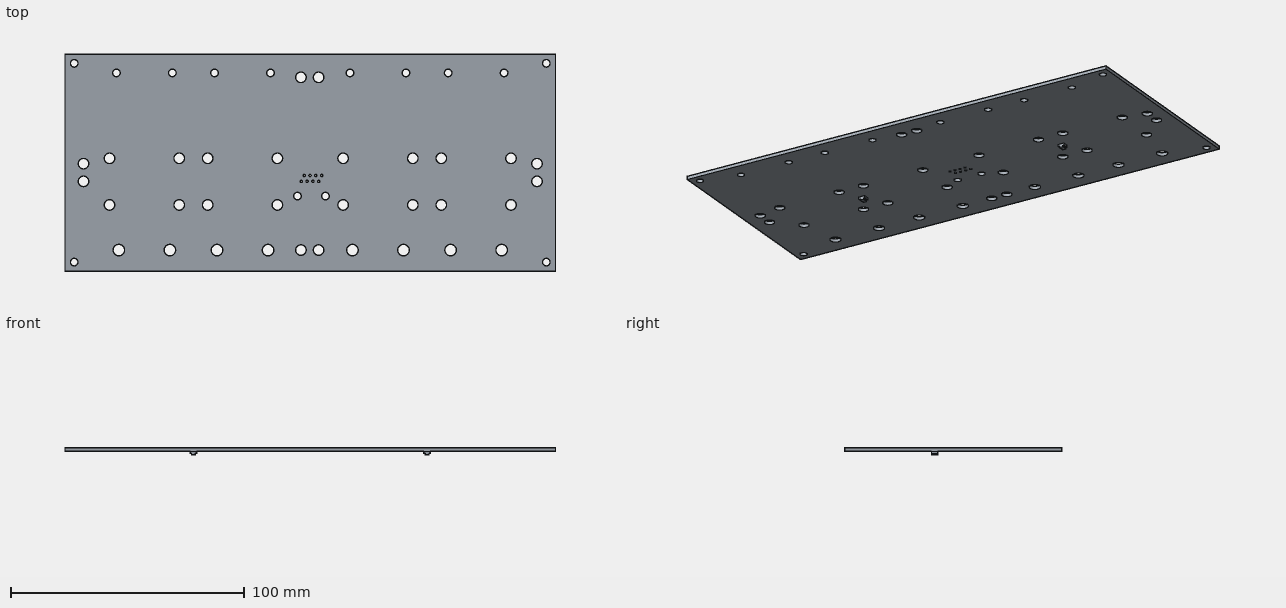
import cadquery as cq

PANEL_LENGTH = 210.0
PANEL_WIDTH = 93.0
TOTAL_HEIGHT = 3.2
PANEL_THICKNESS = 1.6
PANEL_BOTTOM = -PANEL_THICKNESS

CORNER_DIAMETER = 3.2
CORNER_INSET = 4.0

INNER_STATION_X = 29.0
OUTER_STATION_X = 71.0
STATIONS_X = [-OUTER_STATION_X, -INNER_STATION_X, INNER_STATION_X, OUTER_STATION_X]

UPPER_DIAMETER = 3.2
UPPER_OFFSET = 12.0
UPPER_Y = 38.5
MIDDLE_DIAMETER = 4.5
MIDDLE_OFFSET = 15.0
MIDDLE_ROWS_Y = [1.9, -18.0]
LOWER_DIAMETER = 4.8
LOWER_OFFSET = 11.0
LOWER_Y = -37.4

EDGE_DIAMETER = 4.5
EDGE_SPACING = 7.5
EDGE_PAIR_X = -0.2
EDGE_PAIR_TOP_Y = 36.5
EDGE_PAIR_BOTTOM_Y = LOWER_Y
SIDE_PAIR_X = 97.0
SIDE_PAIR_Y = -4.2

CONNECTOR_X = 0.52
PIN_DIAMETER = 0.9
PINS_PER_ROW = 4
PIN_PITCH = 2.5
PIN_STAGGER = PIN_PITCH / 2
UPPER_PIN_ROW_Y = -5.5
LOWER_PIN_ROW_Y = UPPER_PIN_ROW_Y - PIN_PITCH
PEG_DIAMETER = 3.2
PEG_SPACING = 12.0
PEG_Y = -14.3

FOOT_X = 50.0
FOOT_Y = -8.0
FOOT_LENGTH_Y = 2.7
FOOT_WIDTH = 3.0
FOOT_TIP_WIDTH = 1.7
FOOT_STEP_DEPTH = 0.95
FOOT_HEIGHT = TOTAL_HEIGHT - PANEL_THICKNESS


def cut_holes(body, diameter, centers):
    """Cut through holes of one diameter at the given (x, y) centres."""
    drill = (
        cq.Workplane("XY")
        .workplane(offset=PANEL_BOTTOM)
        .pushPoints(centers)
        .circle(diameter / 2)
        .extrude(PANEL_THICKNESS)
    )
    return body.cut(drill)


def corner_centers():
    x = PANEL_LENGTH / 2 - CORNER_INSET
    y = PANEL_WIDTH / 2 - CORNER_INSET
    return [(sx * x, sy * y) for sx in (-1, 1) for sy in (-1, 1)]


def station_centers(offset, y):
    """A pair of holes straddling the centreline of every station."""
    return [(x + side * offset, y) for x in STATIONS_X for side in (-1, 1)]


def edge_pair_centers():
    half = EDGE_SPACING / 2
    centers = []
    for side in (-1, 1):
        centers += [(EDGE_PAIR_X + side * half, y) for y in (EDGE_PAIR_TOP_Y, EDGE_PAIR_BOTTOM_Y)]
        centers += [(x, SIDE_PAIR_Y + side * half) for x in (-SIDE_PAIR_X, SIDE_PAIR_X)]
    return centers


def pin_row_centers(row_center_x, y):
    first_x = row_center_x - (PINS_PER_ROW - 1) * PIN_PITCH / 2
    return [(first_x + i * PIN_PITCH, y) for i in range(PINS_PER_ROW)]


def connector_pin_centers():
    upper = pin_row_centers(CONNECTOR_X + PIN_STAGGER / 2, UPPER_PIN_ROW_Y)
    lower = pin_row_centers(CONNECTOR_X - PIN_STAGGER / 2, LOWER_PIN_ROW_Y)
    return upper + lower


def peg_centers():
    return [(CONNECTOR_X + side * PEG_SPACING / 2, PEG_Y) for side in (-1, 1)]


def make_panel():
    body = (
        cq.Workplane("XY")
        .workplane(offset=PANEL_BOTTOM)
        .rect(PANEL_LENGTH, PANEL_WIDTH)
        .extrude(PANEL_THICKNESS)
    )
    body = cut_holes(body, CORNER_DIAMETER, corner_centers())
    body = cut_holes(body, UPPER_DIAMETER, station_centers(UPPER_OFFSET, UPPER_Y))
    for row_y in MIDDLE_ROWS_Y:
        body = cut_holes(body, MIDDLE_DIAMETER, station_centers(MIDDLE_OFFSET, row_y))
    body = cut_holes(body, LOWER_DIAMETER, station_centers(LOWER_OFFSET, LOWER_Y))
    body = cut_holes(body, EDGE_DIAMETER, edge_pair_centers())
    body = cut_holes(body, PIN_DIAMETER, connector_pin_centers())
    return cut_holes(body, PEG_DIAMETER, peg_centers())


def make_foot(x):
    """A stepped block under the panel, wide against it and narrower in X at its lower end."""
    upper = (
        cq.Workplane("XY", origin=(x, FOOT_Y, PANEL_BOTTOM))
        .rect(FOOT_WIDTH, FOOT_LENGTH_Y)
        .extrude(-FOOT_STEP_DEPTH)
    )
    lower = (
        cq.Workplane("XY", origin=(x, FOOT_Y, PANEL_BOTTOM))
        .rect(FOOT_TIP_WIDTH, FOOT_LENGTH_Y)
        .extrude(-FOOT_HEIGHT)
    )
    return upper.union(lower)


panel = make_panel()
feet = [make_foot(x) for x in (-FOOT_X, FOOT_X)]

result = cq.Compound.makeCompound([panel.val(), *[foot.val() for foot in feet]])